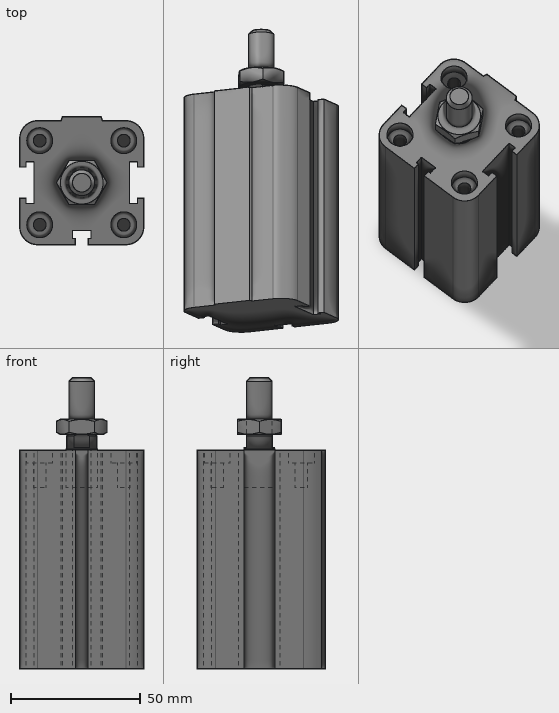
import cadquery as cq
import math

SIDE = 48.0
HALF_SIDE = SIDE / 2
HOUSING_HEIGHT = 84.5
END_SECTION_HEIGHT = 14.5
CORNER_RADIUS = 7.0

TAB_HEIGHT = 1.5
TAB_BASE_WIDTH = 16.0
TAB_TOP_WIDTH = 15.0

SLOT_DEPTH = 5.5
SLOT_LIP = 2.5
SIDE_SLOT_OPENING = 12.0
SIDE_SLOT_WIDTH = 16.0
FRONT_SLOT_OPENING = 5.0
FRONT_SLOT_WIDTH = 7.0

HOLE_SPACING = 32.5
HOLE_DIAMETER = 4.92
HOLE_DEPTH = END_SECTION_HEIGHT
COUNTERBORE_DIAMETER = 10.0
COUNTERBORE_DEPTH = 5.0

ROD_DIAMETER = 12.0
ROD_GUIDE_TOP = 0.4
SHOULDER_DIAMETER = 11.7
ROD_TOP = 28.0
ROD_INSERTION = END_SECTION_HEIGHT
THREAD_DIAMETER = 10.0
TIP_CHAMFER = 1.4
SHOULDER_TOP = 6.0
SHOULDER_CHAMFER = 0.5
FLATS_WIDTH = 10.0
FLATS_BOTTOM = 1.0

NUT_ACROSS_FLATS = 17.0
NUT_ACROSS_CORNERS = NUT_ACROSS_FLATS / math.cos(math.pi / 6)
NUT_HEIGHT = 6.0
NUT_FACE_DIAMETER = 16.5
NUT_CHAMFER_ANGLE = 30.0


def t_slot(opening, width):
    """T-slot cutter open towards -Y, on the -Y wall of the housing."""
    depth_inside = SLOT_DEPTH - SLOT_LIP
    mouth = cq.Workplane("XY").box(opening, SLOT_DEPTH, HOUSING_HEIGHT, centered=(True, False, False))
    chamber = (
        cq.Workplane("XY")
        .box(width, depth_inside, HOUSING_HEIGHT, centered=(True, False, False))
        .translate((0, SLOT_LIP, 0))
    )
    return mouth.union(chamber).translate((0, -HALF_SIDE, -HOUSING_HEIGHT))


def tab():
    """Raised strip along the full height of the +Y wall, with slightly sloped sides."""
    half_base = TAB_BASE_WIDTH / 2
    half_top = TAB_TOP_WIDTH / 2
    outer_y = HALF_SIDE + TAB_HEIGHT
    outline = [
        (-half_base, 0),
        (half_base, 0),
        (half_base, HALF_SIDE),
        (half_top, outer_y),
        (-half_top, outer_y),
        (-half_base, HALF_SIDE),
    ]
    return cq.Workplane("XY").polyline(outline).close().extrude(-HOUSING_HEIGHT)


def make_housing():
    """Square body with rounded corners, three T-slots, four blind counterbored holes and a rod bore."""
    body = cq.Workplane("XY").rect(SIDE, SIDE).extrude(-HOUSING_HEIGHT)
    body = body.edges("|Z").fillet(CORNER_RADIUS).union(tab())

    body = body.cut(t_slot(FRONT_SLOT_OPENING, FRONT_SLOT_WIDTH))
    for angle in (-90, 90):
        side_slot = t_slot(SIDE_SLOT_OPENING, SIDE_SLOT_WIDTH)
        body = body.cut(side_slot.rotate((0, 0, 0), (0, 0, 1), angle))

    body = (
        body.faces(">Z")
        .workplane(origin=(0, 0, 0))
        .rect(HOLE_SPACING, HOLE_SPACING, forConstruction=True)
        .vertices()
        .cboreHole(HOLE_DIAMETER, COUNTERBORE_DIAMETER, COUNTERBORE_DEPTH, HOLE_DEPTH)
    )
    rod_bore = cq.Workplane("XY").circle(ROD_DIAMETER / 2).extrude(-ROD_INSERTION)
    return body.cut(rod_bore)


def make_rod():
    """Piston rod: guided part in the bore, turned shoulder with two wrench flats, threaded end."""
    guide = (
        cq.Workplane("XY", origin=(0, 0, -ROD_INSERTION))
        .circle(ROD_DIAMETER / 2)
        .extrude(ROD_INSERTION + ROD_GUIDE_TOP)
    )
    shoulder = (
        cq.Workplane("XY")
        .circle(SHOULDER_DIAMETER / 2)
        .extrude(SHOULDER_TOP)
        .faces(">Z")
        .chamfer(SHOULDER_CHAMFER)
    )
    flats = (
        cq.Workplane("XY", origin=(0, 0, FLATS_BOTTOM))
        .rect(SHOULDER_DIAMETER, FLATS_WIDTH)
        .rect(2 * SHOULDER_DIAMETER, 2 * SHOULDER_DIAMETER)
        .extrude(SHOULDER_TOP - FLATS_BOTTOM)
    )
    thread = (
        cq.Workplane("XY")
        .circle(THREAD_DIAMETER / 2)
        .extrude(ROD_TOP)
        .faces(">Z")
        .chamfer(TIP_CHAMFER)
    )
    return guide.union(shoulder.cut(flats)).union(thread)


def make_nut():
    """Hexagon nut with corners on the X axis and both ends chamfered by a cone."""
    corner_radius = NUT_ACROSS_CORNERS / 2
    face_radius = NUT_FACE_DIAMETER / 2
    drop = (corner_radius - face_radius) * math.tan(math.radians(NUT_CHAMFER_ANGLE))
    nut_top = SHOULDER_TOP + NUT_HEIGHT

    hexagon = (
        cq.Workplane("XY", origin=(0, 0, SHOULDER_TOP))
        .polygon(6, NUT_ACROSS_CORNERS)
        .circle(THREAD_DIAMETER / 2)
        .extrude(NUT_HEIGHT)
    )
    profile = [
        (0, SHOULDER_TOP),
        (face_radius, SHOULDER_TOP),
        (corner_radius, SHOULDER_TOP + drop),
        (corner_radius, nut_top - drop),
        (face_radius, nut_top),
        (0, nut_top),
    ]
    envelope = cq.Workplane("XZ").polyline(profile).close().revolve(360, (0, 0, 0), (0, 1, 0))
    return hexagon.intersect(envelope)


housing = make_housing()
rod = make_rod()
nut = make_nut()

result = cq.Compound.makeCompound([housing.val(), rod.val(), nut.val()])